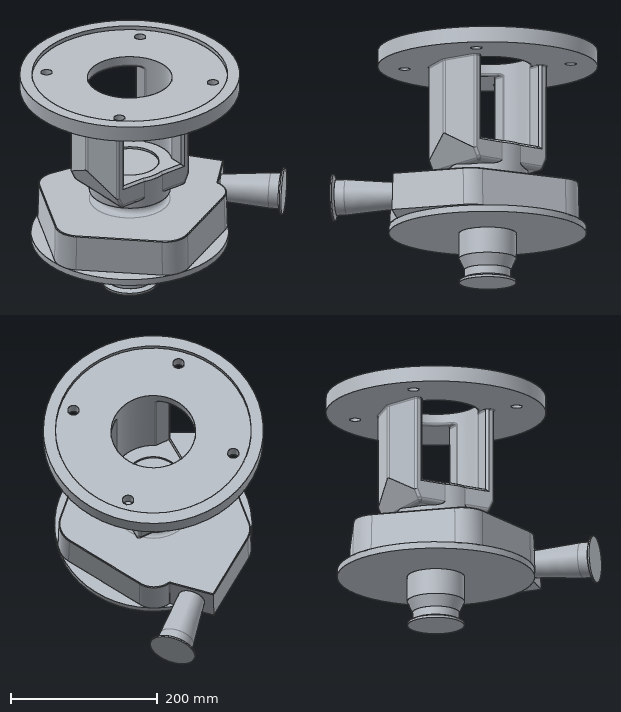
import cadquery as cq
import math

FERRULE_LIP = 3.5
FERRULE_Z = 6.62
PIPE_NARROW_Z = 18.0
PIPE_WIDE_Z = 34.0
DISC_BOTTOM = 69.2
DISC_THICKNESS = 9.0
CASING_HEIGHT = 52.0
HUB_BOTTOM = 145.3
YOKE_BOTTOM = 155.0
HUB_TOP = 188.5
FLANGE_BOTTOM = 302.5
FLANGE_TOP = 324.5
CASING_BOTTOM = DISC_BOTTOM + DISC_THICKNESS
CASING_TOP = CASING_BOTTOM + CASING_HEIGHT

FLANGE_DIA = 300.0
RECESS_DIA = 266.7
RECESS_DEPTH = 5.5
FLANGE_BORE_DIA = 115.5
BOLT_HOLE_DIA = 15.0
BOLT_SPACING = 161.5

YOKE_WIDTH = 106.0
YOKE_RIDGE_Y = 75.3
YOKE_SHOULDER_Y = 61.1
YOKE_TAPER_TOP = 199.8
YOKE_FOOT_Y = 53.7
WINDOW_DEPTH = 99.0
YOKE_EDGE_RADIUS = 3.5
FOOT_RADIUS = 6.0
LEG_ROOT_RADIUS = 2.0
BORE_EDGE_RADIUS = 3.5
RIDGE_RADIUS = 11.0
WINDOW_CHAMFER = 3.5

HUB_DIA = 110.5
HUB_RECESS_DIA = 79.5
HUB_RECESS_DEPTH = 3.0
NECK_DIA = 90.5
NECK_FLARE = 10.0

CASING_INRADIUS = 115.8
CASING_CORNER_RADIUS = 34.0
CASING_SIDES = 5
CASING_FIRST_CORNER = 63.0
CASING_DRAFT = 1.3
CASING_EDGE_CHAMFER = 1.0
OUTLET_TIP = (-5.5, 168.0)
OUTLET_ANGLE = 45.0

DISC_DIA = 269.5
PIPE_WIDE_DIA = 78.5
PIPE_NARROW_DIA = 63.5
FERRULE_DIA = 77.5

NOZZLE_Z = 104.8
NOZZLE_END = (77.5, 205.8)
NOZZLE_LENGTH = 90.8
NOZZLE_FERRULE_DIA = 64.0
NOZZLE_LIP = 2.3
NOZZLE_FLARE = 2.5
NOZZLE_COLLAR = 13.5
NOZZLE_END_DIA = 49.0
NOZZLE_COLLAR_DIA = 48.8
NOZZLE_ROOT_DIA = 36.5


def cylinder(diameter, bottom, top):
    return cq.Workplane("XY").workplane(offset=bottom).circle(diameter / 2).extrude(top - bottom)


def make_flange():
    flange = cylinder(FLANGE_DIA, FLANGE_BOTTOM, FLANGE_TOP)
    flange = flange.cut(cylinder(RECESS_DIA, FLANGE_TOP - RECESS_DEPTH, FLANGE_TOP))
    bolt_holes = (
        cq.Workplane("XY").workplane(offset=FLANGE_BOTTOM)
        .rect(BOLT_SPACING, BOLT_SPACING, forConstruction=True).vertices()
        .circle(BOLT_HOLE_DIA / 2).extrude(FLANGE_TOP - FLANGE_BOTTOM)
    )
    return flange.cut(bolt_holes)


def make_yoke():
    half = YOKE_WIDTH / 2
    height = FLANGE_BOTTOM - YOKE_BOTTOM
    plan = [
        (half, -YOKE_SHOULDER_Y), (half, YOKE_SHOULDER_Y), (0, YOKE_RIDGE_Y),
        (-half, YOKE_SHOULDER_Y), (-half, -YOKE_SHOULDER_Y), (0, -YOKE_RIDGE_Y),
    ]
    block = cq.Workplane("XY").workplane(offset=YOKE_BOTTOM).polyline(plan).close().extrude(height)
    ridges = cq.selectors.BoxSelector((-3.8, -94.5, 0), (3.8, 94.5, 378.5))
    block = block.edges("|Z").edges(ridges).fillet(RIDGE_RADIUS)
    profile = [
        (-YOKE_FOOT_Y, YOKE_BOTTOM), (YOKE_FOOT_Y, YOKE_BOTTOM),
        (YOKE_RIDGE_Y, YOKE_TAPER_TOP), (YOKE_RIDGE_Y, FLANGE_BOTTOM),
        (-YOKE_RIDGE_Y, FLANGE_BOTTOM), (-YOKE_RIDGE_Y, YOKE_TAPER_TOP),
    ]
    yoke = block.intersect(
        cq.Workplane("YZ").polyline(profile).close().extrude(half, both=True)
    )
    yoke = yoke.faces("<Z").edges().fillet(FOOT_RADIUS)
    yoke = yoke.faces("<X or >X").edges("not >Z").fillet(YOKE_EDGE_RADIUS)
    window = (
        cq.Workplane("XY").workplane(offset=HUB_TOP)
        .rect(YOKE_WIDTH, WINDOW_DEPTH).extrude(FLANGE_BOTTOM - HUB_TOP)
    )
    reach = WINDOW_DEPTH / 2 + 0.5
    rim = cq.selectors.BoxSelector(
        (-YOKE_WIDTH, -reach, HUB_TOP - 0.5), (YOKE_WIDTH, reach, FLANGE_BOTTOM - 0.5)
    )
    yoke = yoke.cut(window)
    return yoke.faces("<X or >X").edges(rim).chamfer(WINDOW_CHAMFER)


def make_frame():
    frame = make_flange().union(make_yoke())
    for side in (-1, 1):
        for joint_y in (WINDOW_DEPTH / 2, (YOKE_RIDGE_Y + YOKE_SHOULDER_Y) / 2):
            joint = cq.selectors.BoxSelector(
                (-YOKE_WIDTH / 3, side * joint_y - 0.8, FLANGE_BOTTOM - 0.5),
                (YOKE_WIDTH / 3, side * joint_y + 0.8, FLANGE_BOTTOM + 0.5),
            )
            frame = frame.edges(joint).fillet(LEG_ROOT_RADIUS)
    frame = frame.cut(cylinder(FLANGE_BORE_DIA, HUB_TOP, FLANGE_TOP))
    bore_edge_x = math.sqrt((FLANGE_BORE_DIA / 2) ** 2 - (WINDOW_DEPTH / 2) ** 2)
    legs = cq.selectors.BoxSelector(
        (-bore_edge_x - 0.5, -WINDOW_DEPTH / 2 - 0.5, HUB_TOP),
        (bore_edge_x + 0.5, WINDOW_DEPTH / 2 + 0.5, FLANGE_BOTTOM),
    )
    return frame.edges("|Z").edges(legs).fillet(BORE_EDGE_RADIUS)


def make_hub():
    hub = cylinder(HUB_DIA, HUB_BOTTOM, HUB_TOP).faces(">Z").edges().chamfer(WINDOW_CHAMFER)
    neck_radius = NECK_DIA / 2
    neck = (
        cq.Workplane("XZ").moveTo(0, CASING_TOP)
        .lineTo(neck_radius + NECK_FLARE, CASING_TOP)
        .radiusArc((neck_radius, CASING_TOP + NECK_FLARE), NECK_FLARE)
        .lineTo(neck_radius, HUB_BOTTOM).lineTo(0, HUB_BOTTOM).close()
        .revolve(360, (0, 0), (0, 1))
    )
    return hub.union(neck)


def make_casing():
    step = 2 * math.pi / CASING_SIDES
    corner_distance = CASING_INRADIUS / math.cos(step / 2)
    first = math.radians(CASING_FIRST_CORNER)
    corners = [
        (corner_distance * math.cos(first + i * step), corner_distance * math.sin(first + i * step))
        for i in range(CASING_SIDES)
    ]
    side_normal = first + step / 2
    face_direction = math.radians(OUTLET_ANGLE) - math.pi / 2
    tip_distance = OUTLET_TIP[0] * math.cos(side_normal) + OUTLET_TIP[1] * math.sin(side_normal)
    face_width = (CASING_INRADIUS - tip_distance) / math.cos(face_direction - side_normal)
    face_end = (
        OUTLET_TIP[0] + face_width * math.cos(face_direction),
        OUTLET_TIP[1] + face_width * math.sin(face_direction),
    )
    outline = [corners[0], face_end, OUTLET_TIP] + corners[1:]
    casing = (
        cq.Workplane("XY").workplane(offset=CASING_BOTTOM)
        .polyline(outline).close().extrude(CASING_HEIGHT, taper=CASING_DRAFT)
    )
    for x, y in corners:
        near_corner = cq.selectors.BoxSelector((x - 7.5, y - 7.5, 0), (x + 7.5, y + 7.5, CASING_TOP))
        casing = casing.edges("not #Z").edges(near_corner).fillet(CASING_CORNER_RADIUS)
    outlet_edge = cq.selectors.BoxSelector(
        (OUTLET_TIP[0] - 3.8, face_end[1] - 3.8, CASING_BOTTOM),
        (face_end[0] + 3.8, OUTLET_TIP[1] + 3.8, CASING_TOP + 3.8),
    )
    highest = cq.selectors.DirectionMinMaxSelector(cq.Vector(0, 0, 1))
    top_edges = cq.selectors.SubtractSelector(highest, outlet_edge)
    return casing.edges(top_edges).chamfer(CASING_EDGE_CHAMFER)


def make_suction_pipe():
    profile = [
        (0, 0), (FERRULE_DIA / 2, 0), (FERRULE_DIA / 2, FERRULE_LIP),
        (PIPE_NARROW_DIA / 2, FERRULE_Z), (PIPE_NARROW_DIA / 2, PIPE_NARROW_Z),
        (PIPE_WIDE_DIA / 2, PIPE_WIDE_Z), (PIPE_WIDE_DIA / 2, DISC_BOTTOM), (0, DISC_BOTTOM),
    ]
    return cq.Workplane("XZ").polyline(profile).close().revolve(360, (0, 0), (0, 1))


def make_nozzle():
    collar_start = NOZZLE_LIP + NOZZLE_FLARE
    profile = [
        (0, 0), (NOZZLE_FERRULE_DIA / 2, 0), (NOZZLE_FERRULE_DIA / 2, NOZZLE_LIP),
        (NOZZLE_END_DIA / 2, collar_start),
        (NOZZLE_COLLAR_DIA / 2, collar_start + NOZZLE_COLLAR),
        (NOZZLE_ROOT_DIA / 2, NOZZLE_LENGTH), (0, NOZZLE_LENGTH),
    ]
    angle = math.radians(OUTLET_ANGLE)
    end_plane = cq.Plane(
        origin=(NOZZLE_END[0], NOZZLE_END[1], NOZZLE_Z),
        xDir=(math.sin(angle), -math.cos(angle), 0),
        normal=(0, 0, -1),
    )
    return cq.Workplane(end_plane).polyline(profile).close().revolve(360, (0, 0), (0, 1))


result = (
    make_frame()
    .union(make_hub())
    .cut(cylinder(HUB_RECESS_DIA, HUB_TOP - HUB_RECESS_DEPTH, HUB_TOP))
    .union(make_casing())
    .union(cylinder(DISC_DIA, DISC_BOTTOM, CASING_BOTTOM))
    .union(make_suction_pipe())
    .union(make_nozzle())
)